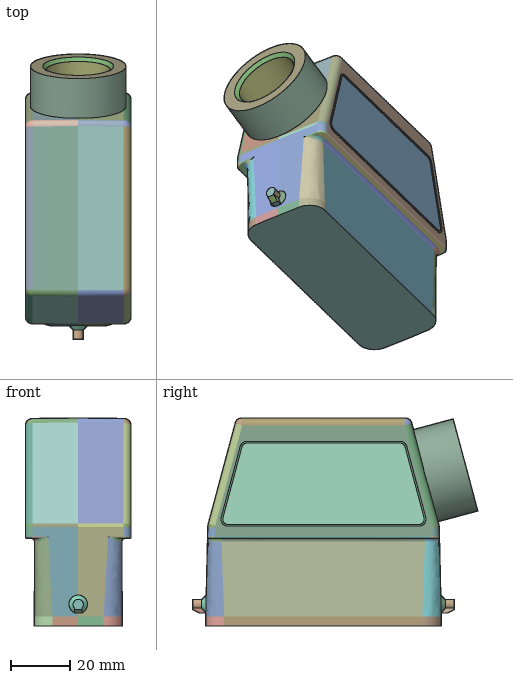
import cadquery as cq
import math

hood_width = 35.8
total_height = 70.4
base_width = 29.8
base_length = 79.7
base_corner_radius = 6.3
lip_height = 3.2

neck_width = 29.6
neck_height = 32.0
neck_corner_radius = 4.6
shoulder_height = 29.7

hood_length = 78.3
slope_foot_height = 34.0
slope_angle = 15.0
draft_angle = 0.5
hood_edge_radius = 2.5
top_end_radius = 2.2
foot_radius = 5.0
shoulder_outer_radius = 0.5
shoulder_inner_radius = 1.1

groove_bottom = 33.8
groove_top = 62.5
groove_margin = 3.7
groove_corner_radius = 2.4
groove_width = 0.6
groove_depth = 0.3

collar_diameter = 32.3
collar_end_y = 48.02
collar_end_z = 54.5
collar_embed = 5.0
bore_diameter = 21.5
bore_chamfer = 1.2

pin_tip_y = 44.25
pin_height = 7.35
pin_diameter = 3.5
pin_length = 3.1
pin_cone_diameter = 6.4
pin_cone_length = 1.5
pin_root_depth = 2.0
gusset_bottom = 4.4
gusset_width = 2.4
gusset_taper_length = 2.4

selection_margin = 0.1

slope_tangent = math.tan(math.radians(slope_angle))
half_hood_length = hood_length / 2
end_lean = (base_length - hood_length) / 2 / (slope_foot_height - lip_height)
half_hood_width = hood_width / 2
hood_end_drop = half_hood_width * math.tan(math.radians(draft_angle))


def slope_y(height):
    """Distance of the sloped end face from the XZ plane at a given height."""
    return half_hood_length - (height - slope_foot_height) * slope_tangent


def end_y(height):
    """Distance of the slightly leaning end face from the XZ plane, between lip and slope foot."""
    return base_length / 2 - (height - lip_height) * end_lean


def base_outline(width, half_length, radius):
    """Rounded rectangle whose ends fall away from X = 0 with the same draft as the hood."""
    draft = math.tan(math.radians(draft_angle)) * math.hypot(1, end_lean)
    corner_x = width / 2
    corner_y = half_length - corner_x * draft
    points = [
        (corner_x, -corner_y),
        (corner_x, corner_y),
        (0, half_length),
        (-corner_x, corner_y),
        (-corner_x, -corner_y),
        (0, -half_length),
    ]
    outline = cq.Sketch().polygon(points + points[:1])
    return outline.vertices("<X or >X").fillet(radius)


def make_base():
    """Straight lip with the tapered base above it."""
    bottom = base_outline(base_width, base_length / 2, base_corner_radius)
    neck = base_outline(neck_width, end_y(neck_height), neck_corner_radius)
    lip = cq.Workplane("XY").placeSketch(bottom).extrude(lip_height)
    taper_height = neck_height - lip_height
    taper = (
        cq.Workplane("XY", origin=(0, 0, lip_height))
        .placeSketch(bottom, neck.moved(cq.Location(cq.Vector(0, 0, taper_height))))
        .loft(ruled=True)
    )
    return lip.union(taper)


def end_edges_at(height):
    """Selector for the hood edges that cross both ends at a given height."""
    return cq.selectors.BoxSelector(
        (selection_margin, -hood_length, height - hood_end_drop),
        (half_hood_width - selection_margin, hood_length, height + selection_margin),
    )


def make_hood():
    """Hood with sloped ends, rounded all round and flat underneath."""
    top_y = slope_y(total_height)
    profile = [
        (-base_length / 2, lip_height),
        (base_length / 2, lip_height),
        (half_hood_length, slope_foot_height),
        (top_y, total_height),
        (-top_y, total_height),
        (-half_hood_length, slope_foot_height),
    ]
    half = cq.Workplane("YZ").polyline(profile).close().extrude(half_hood_width, taper=draft_angle)
    below_shoulder = cq.Workplane("XY").box(
        2 * hood_width, 2 * hood_length, 2 * shoulder_height
    )
    half = half.cut(below_shoulder)
    half = half.edges(end_edges_at(slope_foot_height)).fillet(foot_radius)
    half = half.edges(end_edges_at(total_height)).fillet(top_end_radius)
    half = half.faces(">X").edges("not <Z").fillet(hood_edge_radius)
    half = half.faces(">X").edges("<Z").fillet(shoulder_outer_radius)
    return half.union(half.mirror("YZ"))


def make_body():
    """Base and hood joined, with a hollow fillet where the base sides meet the hood underside."""
    joint_edges = cq.selectors.BoxSelector(
        (-base_width / 2, -hood_length, shoulder_height - selection_margin),
        (base_width / 2, hood_length, shoulder_height + selection_margin),
    )
    return make_base().union(make_hood()).edges(joint_edges).fillet(shoulder_inner_radius)


def groove_outline(margin):
    """Trapezoid on the hood side, pulled in by a margin and rounded at its corners."""
    bottom = groove_bottom + margin
    top = groove_top - margin
    inset = (groove_margin + margin) / math.cos(math.radians(slope_angle))
    bottom_y = slope_y(bottom) - inset
    top_y = slope_y(top) - inset
    corners = [(-bottom_y, bottom), (bottom_y, bottom), (top_y, top), (-top_y, top)]
    return cq.Sketch().polygon(corners + corners[:1]).vertices().fillet(groove_corner_radius - margin)


def make_groove():
    """Cutter for the framing groove on the +X side."""
    plane = cq.Workplane("YZ", origin=(half_hood_width - groove_depth, 0, 0))
    outer = plane.placeSketch(groove_outline(0)).extrude(hood_width)
    inner = plane.placeSketch(groove_outline(groove_width)).extrude(hood_width)
    return outer.cut(inner)


def collar_plane():
    """Plane of the collar mouth, facing outward."""
    angle = math.radians(slope_angle)
    return cq.Plane(
        origin=(0, collar_end_y, collar_end_z),
        xDir=(0, -math.sin(angle), math.cos(angle)),
        normal=(0, math.cos(angle), math.sin(angle)),
    )


def collar_depth():
    """Distance from the collar mouth to the sloped hood face, along the collar axis."""
    return (collar_end_y - slope_y(collar_end_z)) * math.cos(math.radians(slope_angle))


def make_collar():
    """Outer cylinder of the collar, running on into the hood."""
    length = collar_depth() + collar_embed
    return cq.Workplane(collar_plane()).circle(collar_diameter / 2).extrude(-length)


def make_bore():
    """Cutter for the chamfered bore, ending at the sloped hood face."""
    bore = cq.Workplane(collar_plane()).circle(bore_diameter / 2).extrude(-collar_depth())
    mouth = (
        cq.Workplane(collar_plane())
        .circle(bore_diameter / 2 + bore_chamfer)
        .workplane(offset=-bore_chamfer)
        .circle(bore_diameter / 2)
        .loft()
    )
    return bore.union(mouth)


def make_pin():
    """Locking pin on the -Y end: stud, conical foot and a gusset underneath."""
    step_y = pin_tip_y - pin_length
    wall_y = step_y - pin_cone_length
    root_y = wall_y - pin_root_depth
    pin_radius = pin_diameter / 2
    cone_radius = pin_cone_diameter / 2
    half_section = [
        (0, -root_y),
        (cone_radius, -root_y),
        (cone_radius, -wall_y),
        (pin_radius, -step_y),
        (pin_radius, -pin_tip_y),
        (0, -pin_tip_y),
    ]
    stud = (
        cq.Workplane("XY")
        .polyline(half_section)
        .close()
        .revolve(360, (0, 0, 0), (0, 1, 0))
        .translate((0, 0, pin_height))
    )
    below_gusset = cq.Workplane("XY").box(
        2 * pin_cone_diameter, 2 * base_length, 2 * gusset_bottom
    )
    gusset_profile = [
        (-root_y, pin_height),
        (-root_y, gusset_bottom),
        (-(pin_tip_y - gusset_taper_length), gusset_bottom),
        (-pin_tip_y, pin_height - pin_radius),
        (-pin_tip_y, pin_height),
    ]
    gusset = cq.Workplane("YZ").polyline(gusset_profile).close().extrude(gusset_width / 2, both=True)
    return stud.cut(below_gusset).union(gusset)


body = make_body()
groove = make_groove()
pin = make_pin()
result = (
    body.union(make_collar())
    .cut(make_bore())
    .cut(groove)
    .cut(groove.mirror("YZ"))
    .union(pin)
    .union(pin.mirror("XZ"))
)